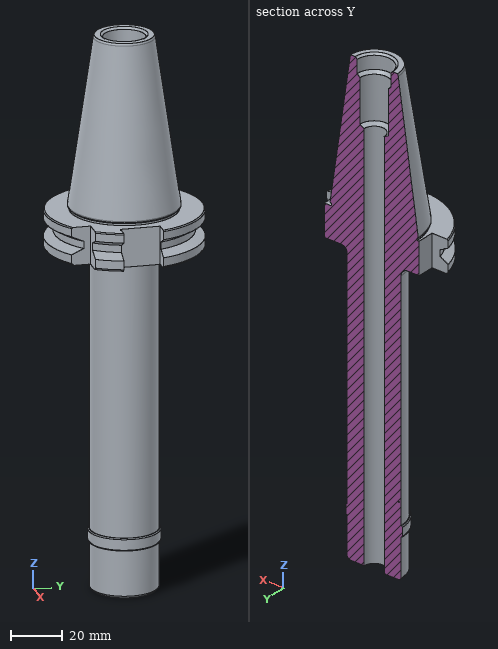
import cadquery as cq
import math


total_length = 228.5
taper_length = 70.0
gauge_diameter = 44.5
gauge_radius = gauge_diameter / 2
taper_ratio = 7 / 24
taper_end_chamfer = 1.0
taper_chamfer_inset = 0.2
taper_end_radius = gauge_radius - taper_length * taper_ratio / 2
taper_chamfer_start_radius = gauge_radius - (taper_length - taper_end_chamfer) * taper_ratio / 2
taper_end_face_radius = taper_end_radius - taper_chamfer_inset

land_length = 0.5
undercut_radius = 21.7

flange_radius = 31.7
flange_top_z = -1.8
flange_bottom_z = -17.5
flange_top_chamfer = 0.5
flange_bottom_chamfer = 1.0
groove_radius = 27.9
groove_mid_z = -9.4
groove_floor_width = 3.0
groove_half_angle = math.radians(30)
groove_floor_half = groove_floor_width / 2
groove_mouth_half = groove_floor_half + (flange_radius - groove_radius) * math.tan(groove_half_angle)

shank_radius = 13.7
shank_end_z = taper_length - total_length
shank_end_chamfer = 1.1
root_fillet = 3.0
collar_radius = 14.5
collar_height = 5.3
collar_to_shank_end = 19.9
collar_bottom_z = shank_end_z + collar_to_shank_end
collar_top_z = collar_bottom_z + collar_height
collar_chamfer = 0.5

entry_radius = 9.4
pilot_radius = 8.5
pilot_depth = 7.3
thread_radius = 7.0
thread_depth = 29.7
bore_radius = 5.0
drill_tip_half_angle = math.radians(59)

key_slot_width = 16.0
left_slot_floor_x = -22.5
right_slot_floor_x = 25.1
notch_x = 18.3
notch_y = -18.3


def revolved_body():
    """Taper, flange, collar and shank as one turned profile."""
    root_radius = shank_radius + root_fillet
    root_z = flange_bottom_z - root_fillet
    arc_offset = root_fillet * (1 - math.sqrt(0.5))
    profile = (
        cq.Workplane("XZ")
        .moveTo(0, taper_length)
        .lineTo(taper_end_face_radius, taper_length)
        .lineTo(taper_chamfer_start_radius, taper_length - taper_end_chamfer)
        .lineTo(gauge_radius, 0)
        .lineTo(gauge_radius, -land_length)
        .lineTo(undercut_radius, -land_length - (gauge_radius - undercut_radius))
        .lineTo(undercut_radius, flange_top_z)
        .lineTo(flange_radius - flange_top_chamfer, flange_top_z)
        .lineTo(flange_radius, flange_top_z - flange_top_chamfer)
        .lineTo(flange_radius, groove_mid_z + groove_mouth_half)
        .lineTo(groove_radius, groove_mid_z + groove_floor_half)
        .lineTo(groove_radius, groove_mid_z - groove_floor_half)
        .lineTo(flange_radius, groove_mid_z - groove_mouth_half)
        .lineTo(flange_radius, flange_bottom_z + flange_bottom_chamfer)
        .lineTo(flange_radius - flange_bottom_chamfer, flange_bottom_z)
        .lineTo(root_radius, flange_bottom_z)
        .threePointArc(
            (shank_radius + arc_offset, flange_bottom_z - arc_offset),
            (shank_radius, root_z),
        )
        .lineTo(shank_radius, collar_top_z)
        .lineTo(collar_radius - collar_chamfer, collar_top_z)
        .lineTo(collar_radius, collar_top_z - collar_chamfer)
        .lineTo(collar_radius, collar_bottom_z + collar_chamfer)
        .lineTo(collar_radius - collar_chamfer, collar_bottom_z)
        .lineTo(shank_radius, collar_bottom_z)
        .lineTo(shank_radius, shank_end_z + shank_end_chamfer)
        .lineTo(shank_radius - shank_end_chamfer, shank_end_z)
        .lineTo(0, shank_end_z)
        .close()
    )
    return profile.revolve(360, (0, 0, 0), (0, 1, 0))


def stepped_bore():
    """Chamfered pilot, threaded section and through bore."""
    pilot_z = taper_length - pilot_depth
    thread_end_z = taper_length - thread_depth
    drill_tip_length = (thread_radius - bore_radius) / math.tan(drill_tip_half_angle)
    profile = (
        cq.Workplane("XZ")
        .moveTo(0, taper_length)
        .lineTo(entry_radius, taper_length)
        .lineTo(pilot_radius, taper_length - (entry_radius - pilot_radius))
        .lineTo(pilot_radius, pilot_z)
        .lineTo(thread_radius, pilot_z - (pilot_radius - thread_radius))
        .lineTo(thread_radius, thread_end_z)
        .lineTo(bore_radius, thread_end_z - drill_tip_length)
        .lineTo(bore_radius, shank_end_z)
        .lineTo(0, shank_end_z)
        .close()
    )
    return profile.revolve(360, (0, 0, 0), (0, 1, 0))


def flange_cutter(x_start, x_end, y_start, y_end):
    """Rectangular block spanning the full flange thickness."""
    return (
        cq.Workplane("XY")
        .workplane(offset=flange_bottom_z)
        .moveTo(x_start, y_start)
        .lineTo(x_end, y_start)
        .lineTo(x_end, y_end)
        .lineTo(x_start, y_end)
        .close()
        .extrude(flange_top_z - flange_bottom_z)
    )


half_slot = key_slot_width / 2
left_slot = flange_cutter(-flange_radius, left_slot_floor_x, -half_slot, half_slot)
right_slot = flange_cutter(right_slot_floor_x, flange_radius, -half_slot, half_slot)
corner_notch = flange_cutter(notch_x, flange_radius, -flange_radius, notch_y)

result = revolved_body().cut(stepped_bore())
for cutter in (left_slot, right_slot, corner_notch):
    result = result.cut(cutter)